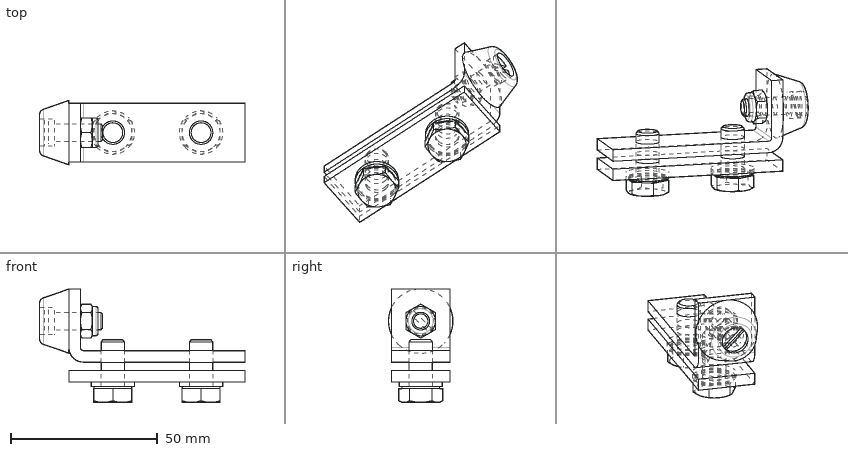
import cadquery as cq
import math


PLATE_LENGTH = 60.0
PLATE_WIDTH = 20.0
PLATE_THICKNESS = 4.0
BRACKET_HEIGHT = 25.0
BEND_INNER_RADIUS = 1.0
BEND_OUTER_RADIUS = BEND_INNER_RADIUS + PLATE_THICKNESS
PLATE_GAP = 2.7
PLATE_BOTTOM = -PLATE_GAP - PLATE_THICKNESS

BOLT_X_POSITIONS = (15.0, 45.0)
BOLT_DIAMETER = 8.0
BOLT_TIP_DIAMETER = 6.7
BOLT_TIP_LENGTH = 0.8
BOLT_LENGTH = 16.0
BOLT_COLLAR_DIAMETER = 12.9
BOLT_COLLAR_HEIGHT = 0.6
BOLT_HEX_HEIGHT = 4.7
BOLT_HEX_WIDTH = 13.0
WASHER_DIAMETER = 14.8
WASHER_THICKNESS = 1.6
BOLT_SEAT = PLATE_BOTTOM - WASHER_THICKNESS

BUMPER_LENGTH = 10.0
BUMPER_BASE_DIAMETER = 22.0
BUMPER_TIP_DIAMETER = 15.0
BUMPER_EDGE_RADIUS = 2.0
BUMPER_AXIS_Z = BRACKET_HEIGHT - BUMPER_BASE_DIAMETER / 2

SCREW_HEAD_DIAMETER = 9.1
SCREW_HEAD_RECESS = 1.7
SCREW_HEAD_HEIGHT = 3.5
SCREW_DIAMETER = 6.0
SCREW_TIP_DIAMETER = 4.9
SCREW_PROTRUSION = 7.5
SCREW_END_X = PLATE_THICKNESS + SCREW_PROTRUSION
SLOT_WIDTH = 1.6
SLOT_DEPTH = 1.4
SLOT_ANGLE = 45.0

NUT_HEX_WIDTH = 10.0
NUT_HEX_HEIGHT = 4.0
NUT_COLLAR_DIAMETER = 10.0
NUT_HEIGHT = 5.95
NUT_COLLAR_RADIUS = 0.8

HEX_CHAMFER_ANGLE = 30.0


def cylinder_z(diameter, bottom, height, x=0.0):
    """Upright cylinder on the Y = 0 plane."""
    return cq.Workplane("XY", origin=(x, 0, bottom)).circle(diameter / 2).extrude(height)


def cylinder_x(diameter, start, end):
    """Cylinder along the bumper's axis, from X = start to X = end."""
    return cq.Workplane("YZ", origin=(start, 0, BUMPER_AXIS_Z)).circle(diameter / 2).extrude(end - start)


def hexagon(width, height, chamfer_bottom):
    """Upright hexagon with corners on the Y axis, its corners turned off by a cone at the top end.

    The bottom end at Z = 0 gets the same chamfer if asked for.
    """
    corner_radius = width / math.sqrt(3)
    drop = (corner_radius - width / 2) * math.tan(math.radians(HEX_CHAMFER_ANGLE))
    prism = cq.Workplane("XY").polygon(6, 2 * corner_radius).extrude(height)
    prism = prism.rotate((0, 0, 0), (0, 0, 1), 90)
    outline = [(0, 0)]
    if chamfer_bottom:
        outline += [(width / 2, 0), (corner_radius, drop)]
    else:
        outline += [(corner_radius, 0)]
    outline += [(corner_radius, height - drop), (width / 2, height), (0, height)]
    turned = cq.Workplane("XZ").polyline(outline).close().revolve(360, (0, 0, 0), (0, 1, 0))
    return prism.intersect(turned)


def drill_bolt_holes(plate):
    for x in BOLT_X_POSITIONS:
        plate = plate.cut(cylinder_z(BOLT_DIAMETER, PLATE_BOTTOM, BRACKET_HEIGHT, x))
    return plate


def make_bracket():
    """L-shaped bracket, bent from one strip."""
    profile = (
        cq.Workplane("XZ", origin=(0, PLATE_WIDTH / 2, 0))
        .moveTo(PLATE_LENGTH, 0)
        .lineTo(BEND_OUTER_RADIUS, 0)
        .radiusArc((0, BEND_OUTER_RADIUS), BEND_OUTER_RADIUS)
        .lineTo(0, BRACKET_HEIGHT)
        .lineTo(PLATE_THICKNESS, BRACKET_HEIGHT)
        .lineTo(PLATE_THICKNESS, BEND_OUTER_RADIUS)
        .radiusArc((BEND_OUTER_RADIUS, PLATE_THICKNESS), -BEND_INNER_RADIUS)
        .lineTo(PLATE_LENGTH, PLATE_THICKNESS)
        .close()
    )
    bracket = drill_bolt_holes(profile.extrude(PLATE_WIDTH))
    return bracket.cut(cylinder_x(SCREW_DIAMETER, 0, PLATE_THICKNESS))


def make_clamping_plate():
    """Flat plate below the bracket."""
    plate = cq.Workplane("XY", origin=(0, 0, PLATE_BOTTOM)).box(
        PLATE_LENGTH, PLATE_WIDTH, PLATE_THICKNESS, centered=(False, True, False)
    )
    return drill_bolt_holes(plate)


def make_washer(x):
    washer = cylinder_z(WASHER_DIAMETER, BOLT_SEAT, WASHER_THICKNESS, x)
    return washer.cut(cylinder_z(BOLT_DIAMETER, BOLT_SEAT, WASHER_THICKNESS, x))


def make_bolt(x):
    """Hexagon bolt pointing up, with a round collar under its head and a chamfered tip."""
    tip_chamfer = (BOLT_DIAMETER - BOLT_TIP_DIAMETER) / 2
    shank = cylinder_z(BOLT_DIAMETER, BOLT_SEAT, BOLT_LENGTH, x)
    shank = shank.faces(">Z").chamfer(BOLT_TIP_LENGTH, tip_chamfer)
    hex_top = BOLT_SEAT - BOLT_COLLAR_HEIGHT
    collar = cylinder_z(BOLT_COLLAR_DIAMETER, hex_top, BOLT_COLLAR_HEIGHT, x)
    head = hexagon(BOLT_HEX_WIDTH, BOLT_HEX_HEIGHT, chamfer_bottom=False)
    head = head.rotate((0, 0, 0), (1, 0, 0), 180).translate((x, 0, hex_top))
    return shank.union(collar).union(head)


def make_bumper():
    """Truncated cone with a rounded front edge, bored for the screw and its head."""
    bumper = (
        cq.Workplane("YZ", origin=(-BUMPER_LENGTH, 0, BUMPER_AXIS_Z))
        .circle(BUMPER_TIP_DIAMETER / 2)
        .workplane(offset=BUMPER_LENGTH)
        .circle(BUMPER_BASE_DIAMETER / 2)
        .loft()
        .faces("<X").edges().fillet(BUMPER_EDGE_RADIUS)
    )
    head_seat = -BUMPER_LENGTH + SCREW_HEAD_RECESS + SCREW_HEAD_HEIGHT
    bumper = bumper.cut(cylinder_x(SCREW_HEAD_DIAMETER, -BUMPER_LENGTH, head_seat))
    return bumper.cut(cylinder_x(SCREW_DIAMETER, head_seat, 0))


def make_screw():
    """Slotted cheese-head screw, sunk into the bumper."""
    head_front = -BUMPER_LENGTH + SCREW_HEAD_RECESS
    tip_chamfer = (SCREW_DIAMETER - SCREW_TIP_DIAMETER) / 2
    shank = cylinder_x(SCREW_DIAMETER, head_front, SCREW_END_X).faces(">X").chamfer(tip_chamfer)
    head = cylinder_x(SCREW_HEAD_DIAMETER, head_front, head_front + SCREW_HEAD_HEIGHT)
    slot = (
        cq.Workplane("XY")
        .box(SLOT_DEPTH, SLOT_WIDTH, SCREW_HEAD_DIAMETER, centered=(False, True, True))
        .rotate((0, 0, 0), (1, 0, 0), SLOT_ANGLE)
        .translate((head_front, 0, BUMPER_AXIS_Z))
    )
    return shank.union(head).cut(slot)


def make_nut():
    """Locking nut: a hexagon with corners up and down, and a rounded collar behind it."""
    hexagon_part = hexagon(NUT_HEX_WIDTH, NUT_HEX_HEIGHT, chamfer_bottom=True)
    hexagon_part = hexagon_part.rotate((0, 0, 0), (0, 0, 1), 90).rotate((0, 0, 0), (0, 1, 0), 90)
    hexagon_part = hexagon_part.translate((PLATE_THICKNESS, 0, BUMPER_AXIS_Z))
    nut_end = PLATE_THICKNESS + NUT_HEIGHT
    collar = cylinder_x(NUT_COLLAR_DIAMETER, PLATE_THICKNESS + NUT_HEX_HEIGHT, nut_end)
    collar = collar.faces(">X").edges().fillet(NUT_COLLAR_RADIUS)
    return hexagon_part.union(collar).cut(cylinder_x(SCREW_DIAMETER, PLATE_THICKNESS, nut_end))


bracket = make_bracket()
clamping_plate = make_clamping_plate()
bumper = make_bumper()
screw = make_screw()
nut = make_nut()
washers = [make_washer(x).val() for x in BOLT_X_POSITIONS]
bolts = [make_bolt(x).val() for x in BOLT_X_POSITIONS]

result = cq.Compound.makeCompound(
    [bracket.val(), clamping_plate.val(), bumper.val(), screw.val(), nut.val(), *washers, *bolts]
)